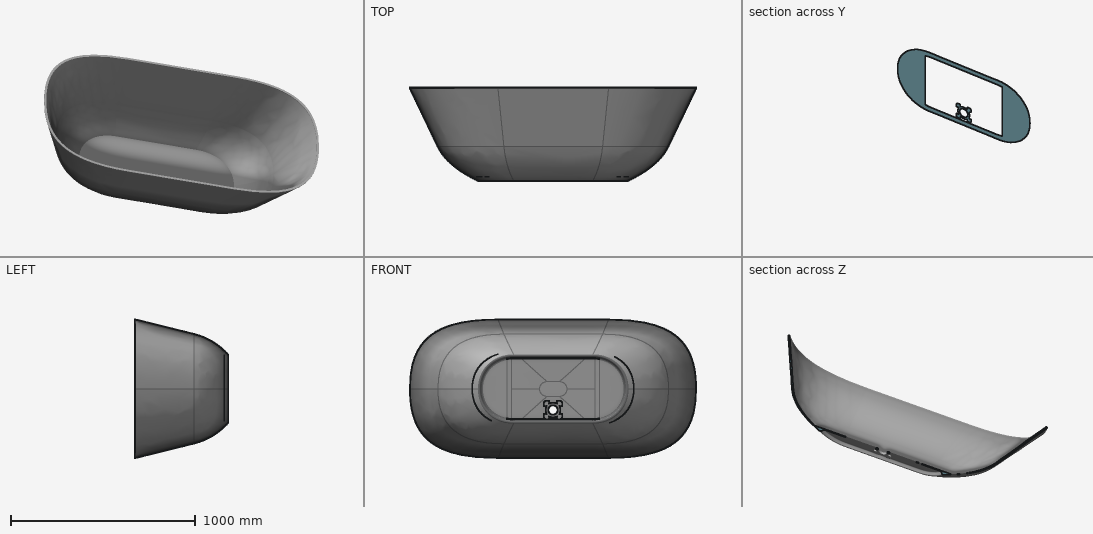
import cadquery as cq
import math


LENGTH = 1550.0
WIDTH = 750.0
HEIGHT = 506.0

BASE_Y = -HEIGHT / 2
RIM_Y = BASE_Y + HEIGHT
RIM_BAND = 4.0
WALL_BREAK_HEIGHT = 187.0

RIM_OUTLINE = (LENGTH / 2, WIDTH / 2, 299.0, 0.71)
BREAK_OUTLINE = (624.0, 297.0, 267.0, 0.68)
BASE_OUTLINE = (404.0, 184.0, 213.0, 0.58)

TANGENT_DEPTH = 108.0
LOWER_WALL_SECTIONS = 5

WALL = 12.0
FLOOR = 5.0

FOOT_RING = 8.0
RECESS_DEPTH = 16.0
RECESS_DRAFT = 9.0
RECESS_MOUTH_ROUND = 4.0
RECESS_FLOOR_ROUND = 6.0

PANEL_HALF_LENGTH = 250.0
PANEL_BORDER = 24.0
PANEL_HALF_WIDTH = 212.0
PANEL_BORDER_DEPTH = 0.5
PANEL_DISH_DEPTH = 1.5
OVAL_HALF_LENGTH = 74.0
OVAL_HALF_WIDTH = 40.0

DRAIN_Z = -115.0
DRAIN_DIAMETER = 50.0
PAD_SIZE = 100.0
PAD_DISC_RADIUS = 40.0
PAD_NOTCH_LENGTH = 42.0
PAD_NOTCH_DEPTH = 14.0
PAD_CORNER = 14.0
PAD_HEIGHT = 5.0
PAD_EMBED = FLOOR / 2
PAD_ROUND = 2.5


def plane_at(y):
    """Plane at height y whose local axes are X and Z, with its normal along -Y."""
    return cq.Plane(origin=(0, y, 0), xDir=(1, 0, 0), normal=(0, -1, 0))


def inset_outline(outline, inset):
    half_length, half_width, straight, fullness = outline
    return (half_length - inset, half_width - inset, straight, fullness)


def outline_wire(outline, y):
    """Closed outline with two straight sides and four Bezier corner quarters."""
    a, b, s, k = outline
    handle_x = s + k * (a - s)
    handle_z = k * b
    sketch = (
        cq.Workplane(plane_at(y))
        .moveTo(-s, b)
        .lineTo(s, b)
        .bezier([(s, b), (handle_x, b), (a, handle_z), (a, 0)])
        .bezier([(a, 0), (a, -handle_z), (handle_x, -b), (s, -b)])
        .lineTo(-s, -b)
        .bezier([(-s, -b), (-handle_x, -b), (-a, -handle_z), (-a, 0)])
        .bezier([(-a, 0), (-a, handle_z), (-handle_x, b), (-s, b)])
        .close()
    )
    return sketch.wire().val()


def loft(wires, ruled):
    return cq.Workplane(cq.Solid.makeLoft(wires, ruled))


def lower_wall_section(t):
    """Outline and height at parameter t on the curve from the wall break (0) to the base (1)."""
    tangent_ratio = TANGENT_DEPTH / (HEIGHT - RIM_BAND - WALL_BREAK_HEIGHT)
    w0, w1, w2 = (1 - t) ** 2, 2 * t * (1 - t), t ** 2
    outline = []
    for rim, start, end in zip(RIM_OUTLINE, BREAK_OUTLINE, BASE_OUTLINE):
        tangent = start + (start - rim) * tangent_ratio
        outline.append(w0 * start + w1 * tangent + w2 * end)
    depth = w1 * TANGENT_DEPTH + w2 * WALL_BREAK_HEIGHT
    return outline, BASE_Y + WALL_BREAK_HEIGHT - depth


def tub_body(inset):
    """Solid tub form, moved inward by the given distance."""
    rim = inset_outline(RIM_OUTLINE, inset)
    wall_break = inset_outline(BREAK_OUTLINE, inset)
    band_y = RIM_Y - RIM_BAND
    band = loft([outline_wire(rim, RIM_Y), outline_wire(rim, band_y)], True)
    upper = loft(
        [outline_wire(rim, band_y), outline_wire(wall_break, BASE_Y + WALL_BREAK_HEIGHT)], True
    )
    sections = []
    for i in range(LOWER_WALL_SECTIONS):
        outline, y = lower_wall_section(i / (LOWER_WALL_SECTIONS - 1))
        sections.append(outline_wire(inset_outline(outline, inset), y))
    return band.union(upper).union(loft(sections, False))


def basin():
    """Inside of the tub, open at the rim and flat at the floor."""
    floor_y = BASE_Y + RECESS_DEPTH + PANEL_BORDER_DEPTH + PANEL_DISH_DEPTH + FLOOR
    above_floor = cq.Workplane("XY").box(LENGTH, HEIGHT, WIDTH).translate((0, floor_y - BASE_Y, 0))
    return tub_body(WALL).intersect(above_floor)


def recess():
    """Shallow drafted pocket inside the foot ring."""
    mouth = inset_outline(BASE_OUTLINE, FOOT_RING)
    bottom = inset_outline(mouth, RECESS_DRAFT)
    pocket = loft([outline_wire(mouth, BASE_Y), outline_wire(bottom, BASE_Y + RECESS_DEPTH)], True)
    return pocket.faces(">Y").edges().fillet(RECESS_FLOOR_ROUND)


def rectangle_wire(half_length, half_width, y):
    a, b = half_length, half_width
    points = [(0, b), (a, b), (a, 0), (a, -b), (0, -b), (-a, -b), (-a, 0), (-a, b)]
    return cq.Workplane(plane_at(y)).polyline(points).close().wire().val()


def oval_wire(y):
    a, b = OVAL_HALF_LENGTH, OVAL_HALF_WIDTH
    s = a - b
    diagonal = b * math.sqrt(0.5)
    sketch = (
        cq.Workplane(plane_at(y))
        .moveTo(0, b)
        .lineTo(s, b)
        .threePointArc((s + diagonal, diagonal), (a, 0))
        .threePointArc((s + diagonal, -diagonal), (s, -b))
        .lineTo(0, -b)
        .lineTo(-s, -b)
        .threePointArc((-s - diagonal, -diagonal), (-a, 0))
        .threePointArc((-s - diagonal, diagonal), (-s, b))
        .close()
    )
    return sketch.wire().val()


def floor_panel():
    """Dished panel cut into the recess floor, deepening to a flat oval in the middle."""
    floor_y = BASE_Y + RECESS_DEPTH
    border_y = floor_y + PANEL_BORDER_DEPTH
    inner_half_length = PANEL_HALF_LENGTH - PANEL_BORDER
    outer = rectangle_wire(PANEL_HALF_LENGTH, PANEL_HALF_WIDTH, floor_y)
    inner = rectangle_wire(inner_half_length, PANEL_HALF_WIDTH, border_y)
    panel = loft([outer, inner], True).union(loft([inner, oval_wire(border_y + PANEL_DISH_DEPTH)], True))
    recess_bottom = inset_outline(BASE_OUTLINE, FOOT_RING + RECESS_DRAFT)
    limit = loft(
        [outline_wire(recess_bottom, BASE_Y), outline_wire(recess_bottom, BASE_Y + HEIGHT / 2)], True
    )
    return panel.intersect(limit)


def drain_pad():
    """Boss around the drain: a disc joined to four rounded corner ears."""
    top_y = BASE_Y + RECESS_DEPTH - PAD_HEIGHT
    thickness = PAD_HEIGHT + PANEL_BORDER_DEPTH + PANEL_DISH_DEPTH + PAD_EMBED
    base = cq.Workplane(plane_at(top_y)).center(0, DRAIN_Z)
    ears = base.rect(PAD_SIZE, PAD_SIZE).extrude(-thickness).edges("|Y").fillet(PAD_CORNER)
    for angle in (0, 90, 180, 270):
        notch = (
            base.transformed(rotate=(0, 0, angle))
            .center(PAD_SIZE / 2, 0)
            .rect(2 * PAD_NOTCH_DEPTH, PAD_NOTCH_LENGTH)
            .extrude(-thickness)
        )
        ears = ears.cut(notch)
    pad = ears.union(base.circle(PAD_DISC_RADIUS).extrude(-thickness))
    return pad.faces("<Y").edges().fillet(PAD_ROUND)


def drain_hole():
    return cq.Workplane(plane_at(0)).center(0, DRAIN_Z).circle(DRAIN_DIAMETER / 2).extrude(HEIGHT)


def recess_mouth_edges():
    """Selector for the inner edge of the foot ring."""
    reach = BASE_OUTLINE[0] - FOOT_RING / 2
    half_width = BASE_OUTLINE[1] - FOOT_RING / 2
    margin = 1.0
    return cq.selectors.BoxSelector(
        (-reach, BASE_Y - margin, -half_width), (reach, BASE_Y + margin, half_width)
    )


shell = tub_body(0).cut(basin()).cut(recess())
rounded = shell.edges(recess_mouth_edges()).fillet(RECESS_MOUTH_ROUND)
tub = rounded.cut(floor_panel())
result = cq.Workplane(tub.union(drain_pad()).cut(drain_hole()).solids().val())